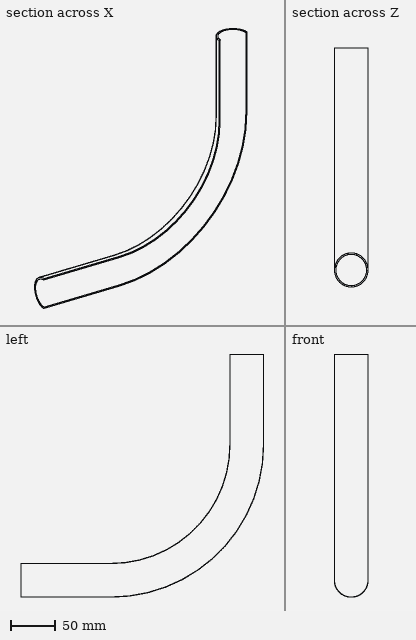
import cadquery as cq

outer_diameter = 38.1
inner_diameter = 33.88
bend_radius = 152.4
leg_length = 101.6
bend_angle = 90

outer_radius = outer_diameter / 2
inner_radius = inner_diameter / 2
leg_reach = bend_radius + leg_length


def tube_section(plane):
    """Annular cross-section of the tube, centred on the plane's origin."""
    return cq.Workplane(plane).circle(outer_radius).circle(inner_radius)


def horizontal_leg():
    """Straight tube along Y, from the end of the bend to the +Y opening."""
    opening = cq.Plane(origin=(0, leg_reach, 0), xDir=(1, 0, 0), normal=(0, -1, 0))
    return tube_section(opening).extrude(leg_length)


def vertical_leg():
    """Straight tube along Z, from the end of the bend to the +Z opening."""
    bend_end = cq.Plane(origin=(0, 0, bend_radius), xDir=(1, 0, 0), normal=(0, 0, 1))
    return tube_section(bend_end).extrude(leg_length)


def bend():
    """Quarter-torus elbow, revolved about an X-parallel axis at Y = Z = bend_radius."""
    bend_end = cq.Plane(origin=(0, 0, bend_radius), xDir=(1, 0, 0), normal=(0, 0, 1))
    axis_start = (0, bend_radius)
    axis_end = (1, bend_radius)
    return tube_section(bend_end).revolve(bend_angle, axis_start, axis_end)


result = horizontal_leg().union(bend()).union(vertical_leg())